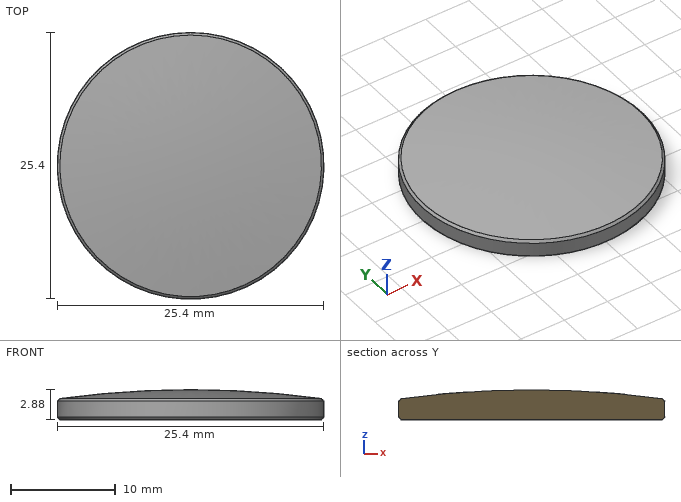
import cadquery as cq
import math

diameter = 25.4
center_thickness = 2.88
bevel = 0.25
dome_edge_height = 2.03

radius = diameter / 2
face_radius = radius - bevel
dome_sag = center_thickness - dome_edge_height
dome_radius = (face_radius**2 + dome_sag**2) / (2 * dome_sag)

mid_angle = math.asin(face_radius / dome_radius) / 2
dome_mid_radius = dome_radius * math.sin(mid_angle)
dome_mid_height = center_thickness - dome_radius * (1 - math.cos(mid_angle))

half_section = (
    cq.Workplane("YZ")
    .moveTo(0, 0)
    .lineTo(face_radius, 0)
    .lineTo(radius, bevel)
    .lineTo(radius, dome_edge_height - bevel)
    .lineTo(face_radius, dome_edge_height)
    .threePointArc((dome_mid_radius, dome_mid_height), (0, center_thickness))
    .close()
)

result = half_section.revolve(360, (0, 0, 0), (0, 1, 0))